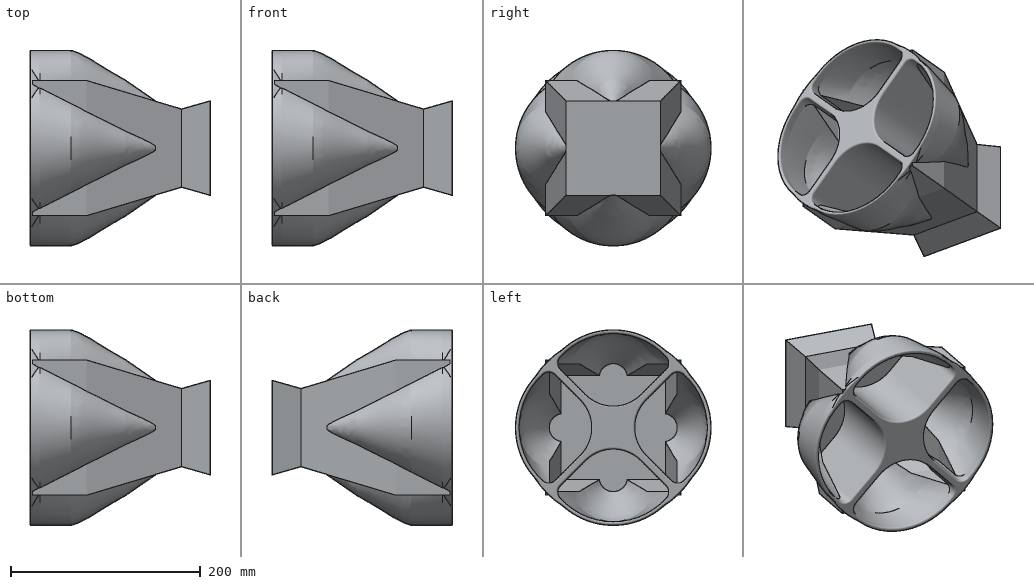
import cadquery as cq
import math


length = 190.0
overall = 206.2
wall = 4.0

body_half = 71.1
waist_half = 41.2
outlet_half = 49.9
taper_start = 59.8
waist_x = 159.5

crown = overall / 2
shoulder_start = 43.3
shoulder_end = 53.5
shoulder_crown = 99.2
slope_middle = 78.3
knee_x = 101.0
knee_crown = 71.3
lobe_start = 10.3
lobe_tip = 132.0
lobe_half = 63.5
tip_half = 2.0
lobe_sink = 2.0
tip_crown = 49.9

rim_radius = 99.0
rim_depth = 2.5
rim_round = 1.5
collar_radius = 94.8

floor_x = knee_x
pocket_apex_radius = 41.2
pocket_corner_radius = 9.3
mouth_depth = 8.2
mouth_round = 1.9

quarter_turns = (0, 90, 180, 270)


def interpolate(x, x0, v0, x1, v1):
    return v0 + (v1 - v0) * (x - x0) / (x1 - x0)


def side_height(x):
    """Distance from the axis to a flat side of the body, ahead of the waist."""
    if x <= taper_start:
        return body_half
    return interpolate(x, taper_start, body_half, waist_x, waist_half)


def crown_height(x):
    """Distance from the axis to the crest of a lobe."""
    if x <= shoulder_start:
        return crown
    if x <= shoulder_end:
        return interpolate(x, shoulder_start, crown, shoulder_end, shoulder_crown)
    if x <= knee_x:
        return interpolate(x, shoulder_end, shoulder_crown, knee_x, knee_crown)
    return interpolate(x, knee_x, knee_crown, lobe_tip, tip_crown)


def lobe_half_width(x):
    """Half the width of a lobe where it meets the flat side."""
    if x <= lobe_start:
        return lobe_half
    return interpolate(x, lobe_start, lobe_half, lobe_tip, tip_half)


def section_plane(x):
    """Plane across the axis, with local axes along +Y and +Z."""
    return cq.Workplane("YZ", origin=(x, 0, 0))


def ring_of_four(shape):
    ring = shape
    for turn in quarter_turns[1:]:
        ring = ring.union(shape.rotate((0, 0, 0), (1, 0, 0), turn))
    return ring


def square_frustum(x0, half0, x1, half1):
    return (
        section_plane(x0).rect(2 * half0, 2 * half0)
        .workplane(offset=x1 - x0).rect(2 * half1, 2 * half1)
        .loft(ruled=True)
    )


def lobe_arc(x):
    """Radius of a lobe's arc and the distance of its center from the axis."""
    rise = crown_height(x) - side_height(x)
    half = lobe_half_width(x)
    radius = (half**2 + rise**2) / (2 * rise)
    return radius, crown_height(x) - radius


def lobe_wire(x, inset):
    """Circular arc over the flat side, closed by two lines to the axis."""
    radius, center = lobe_arc(x)
    base = side_height(x) - inset - lobe_sink
    base_half = math.sqrt((radius - inset) ** 2 - (base - center) ** 2)
    wire = (
        section_plane(x)
        .moveTo(0, 0)
        .lineTo(-base_half, base)
        .threePointArc((0, crown_height(x) - inset), (base_half, base))
        .close()
    )
    return wire.val()


def lobe_loft(stations, inset, ruled):
    wires = [lobe_wire(x, inset) for x in stations]
    return cq.Workplane(cq.Solid.makeLoft(wires, ruled))


def lobe(inset):
    """Level front and smooth shoulder, up to the pocket floor."""
    shoulder_stations = (shoulder_start, shoulder_end, slope_middle, knee_x)
    front = lobe_loft((0, lobe_start, shoulder_start), inset, True)
    return front.union(lobe_loft(shoulder_stations, inset, False))


def collar():
    """Short cone that blends the round rim into the square body."""
    return (
        section_plane(0).circle(rim_radius)
        .workplane(offset=lobe_start).circle(collar_radius)
        .loft(ruled=True)
    )


def make_outside():
    body = square_frustum(rim_depth, body_half, taper_start, body_half)
    body = body.union(square_frustum(taper_start, body_half, waist_x, waist_half))
    body = body.union(square_frustum(waist_x, waist_half, length, outlet_half))
    outer_lobe = lobe(0).union(lobe_loft((knee_x, lobe_tip), 0, True))
    return body.union(ring_of_four(outer_lobe)).union(collar())


def make_cavity():
    """Space inside the wall, from the rim to the pocket floor."""
    space = square_frustum(0, body_half - wall, taper_start, body_half - wall)
    floor_half = side_height(floor_x) - wall
    space = space.union(square_frustum(taper_start, body_half - wall, floor_x, floor_half))
    mouth = section_plane(0).circle(rim_radius).extrude(mouth_depth)
    return space.union(ring_of_four(lobe(wall))).union(mouth)


def make_pocket_prism():
    """Right-angled wedge between two webs, with a rounded apex and corners."""
    apex = wall * math.sqrt(2)
    wedge = (
        section_plane(0)
        .polyline([(0, apex), (crown, apex + crown), (-crown, apex + crown)])
        .close()
        .extrude(floor_x)
    )
    rim_arc_radius, rim_arc_center = lobe_arc(0)
    outer = section_plane(0).center(0, rim_arc_center).circle(rim_arc_radius - wall)
    wedge = wedge.intersect(outer.extrude(floor_x))
    wedge = wedge.edges("|X").edges("<Z").fillet(pocket_apex_radius)
    wedge = wedge.edges("|X").edges("<Y").fillet(pocket_corner_radius)
    return wedge.edges("|X").edges(">Y").fillet(pocket_corner_radius)


shell = make_outside().faces("<X").edges().fillet(rim_round)
pockets = ring_of_four(make_pocket_prism()).intersect(make_cavity())
shell = shell.cut(pockets)
mouths = shell.faces("<X").val().innerWires()
mouth_edges = [edge for mouth in mouths for edge in mouth.Edges()]
result = shell.newObject(mouth_edges).fillet(mouth_round)